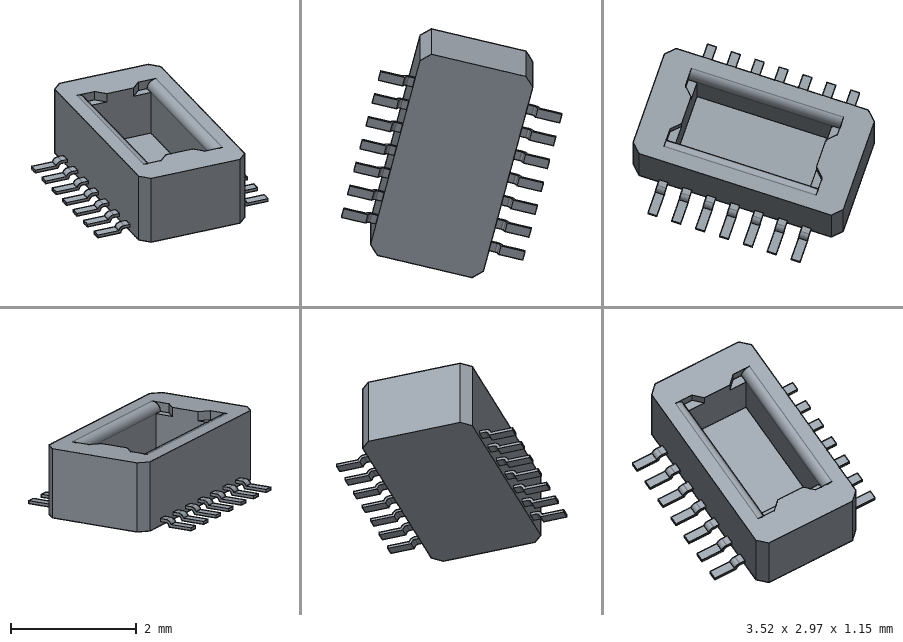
import cadquery as cq
import math

housing_length = 3.52
housing_width = 1.85
housing_height = 1.15
corner_chamfer = 0.15

pocket_length = 2.26
pocket_width = 1.07
floor_thickness = 0.27
rim_radius = 0.15
mouth_length = 2.55
mouth_depth = rim_radius
mouth_width = pocket_width + 2 * rim_radius
end_step = (mouth_length - pocket_length) / 2
end_rib_width = 0.76

lead_count = 7
lead_pitch = 0.4
lead_width = 0.15
lead_thickness = 0.05
lead_span = 2.97
shoulder_height = 0.12
shoulder_length = 0.10
bend_radius = 0.1
bend_angle = math.radians(55)
foot_heel = 0.165
lead_embed = 0.05


def make_housing():
    """Block with its four vertical corners chamfered, standing on Z = 0."""
    block = cq.Workplane("XY").box(
        housing_length, housing_width, housing_height, centered=(True, True, False)
    )
    return block.edges("|Z").chamfer(corner_chamfer)


def make_pocket():
    """Rectangular pocket from the floor up to the top face."""
    return (
        cq.Workplane("XY")
        .workplane(offset=floor_thickness)
        .rect(pocket_length, pocket_width)
        .extrude(housing_height - floor_thickness)
    )


def make_end_rib(side):
    """Tapered rib that splits the mouth's end wall into two corner recesses."""
    outer_x = side * mouth_length / 2
    inner_x = side * pocket_length / 2
    half_tip = end_rib_width / 2 - end_step
    half_root = end_rib_width / 2
    return (
        cq.Workplane("XY")
        .workplane(offset=housing_height - mouth_depth)
        .polyline(
            [(outer_x, -half_root), (inner_x, -half_tip), (inner_x, half_tip), (outer_x, half_root)]
        )
        .close()
        .extrude(mouth_depth)
    )


def make_mouth():
    """Mouth whose long sides flare over a convex quarter round onto the top face."""
    half_mouth = mouth_width / 2
    half_pocket = pocket_width / 2
    ledge_z = housing_height - mouth_depth
    round_y = half_mouth - rim_radius * math.cos(math.pi / 4)
    round_z = ledge_z + rim_radius * math.sin(math.pi / 4)
    flare = (
        cq.Workplane("YZ")
        .moveTo(-half_pocket, ledge_z)
        .lineTo(half_pocket, ledge_z)
        .threePointArc((round_y, round_z), (half_mouth, housing_height))
        .lineTo(-half_mouth, housing_height)
        .threePointArc((-round_y, round_z), (-half_pocket, ledge_z))
        .close()
        .extrude(mouth_length / 2, both=True)
    )
    return flare.cut(make_end_rib(1)).cut(make_end_rib(-1))


def make_lead():
    """Lead on the +Y side at X = 0: shoulder, downward bend and flat foot."""
    wall_y = housing_width / 2
    tip_y = lead_span / 2
    bend_y = wall_y + shoulder_length
    bend_z = shoulder_height - bend_radius
    inner_radius = bend_radius - lead_thickness
    outer_end_angle = math.asin((lead_thickness - bend_z) / bend_radius)

    def on_bend(radius, angle):
        return (bend_y + radius * math.sin(angle), bend_z + radius * math.cos(angle))

    outer_sweep = math.pi / 2 - outer_end_angle
    profile = (
        cq.Workplane("YZ")
        .moveTo(wall_y - lead_embed, shoulder_height)
        .lineTo(bend_y, shoulder_height)
        .threePointArc(on_bend(bend_radius, outer_sweep / 2), on_bend(bend_radius, outer_sweep))
        .lineTo(tip_y, lead_thickness)
        .lineTo(tip_y, 0)
        .lineTo(wall_y + foot_heel, 0)
        .lineTo(*on_bend(inner_radius, bend_angle))
        .threePointArc(on_bend(inner_radius, bend_angle / 2), on_bend(inner_radius, 0))
        .lineTo(wall_y - lead_embed, shoulder_height - lead_thickness)
        .close()
    )
    return profile.extrude(lead_width / 2, both=True)


result = make_housing().cut(make_pocket()).cut(make_mouth())

lead = make_lead()
opposite_lead = lead.mirror("XZ")
for index in range(lead_count):
    lead_x = (index - (lead_count - 1) / 2) * lead_pitch
    result = result.union(lead.translate((lead_x, 0, 0)))
    result = result.union(opposite_lead.translate((lead_x, 0, 0)))